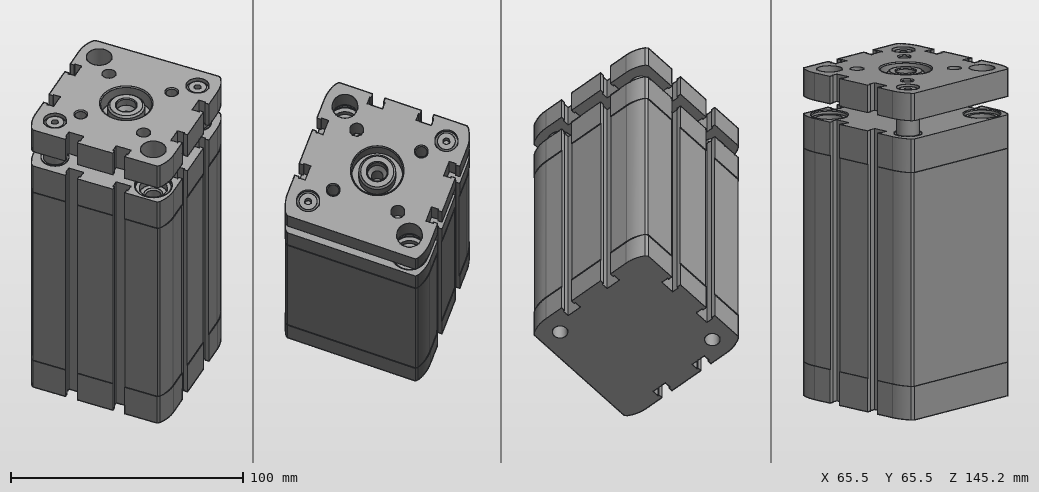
import cadquery as cq
import math

total_height = 145.2
plate_thickness = 12.2
plate_gap = 8.1
cap_height = 15.0
plate_bottom = total_height - plate_thickness
housing_top = plate_bottom - plate_gap

half_width = 32.74
barrel_inset = 0.3
barrel_half_width = half_width - barrel_inset
bulge_start = 23.1
facet_x = 30.3
facet_y = 31.8
flat_x = 29.3

slot_offset = 11.2
slot_throat_width = 5.7
slot_inner_width = 7.0
slot_depth = 5.1
slot_lip = 1.9

center_axis = [(0, 0)]

corner_offset = 23.2
rod_corners = [(-corner_offset, -corner_offset), (corner_offset, corner_offset)]
screw_corners = [(-corner_offset, corner_offset), (corner_offset, -corner_offset)]

screw_hole_diameter = 6.7
screw_chamfer_diameter = 8.1
screw_bore_diameter = 12.0
screw_bore_depth = 5.0
screw_recess_diameter = 15.5
screw_recess_rim = 16.4
screw_recess_depth = 1.6
rod_recess_diameter = 12.0
rod_recess_depth = 0.3

rod_depth = cap_height

guide_diameter = 10.0
guide_end_diameter = 7.7
guide_end_drop = 0.7
guide_center_hole = 2.9
guide_center_depth = 2.9

piston_diameter = 16.0
piston_end_diameter = 14.2
piston_end_drop = 1.0
flat_distance = 12.6
flat_run_out = 0.7
flat_bottom = housing_top + 0.9
thread_rim = 9.5
thread_diameter = 8.5
thread_depth = 3.8
core_diameter = 5.0
core_depth = 14.5
core_tip_height = 1.5

plate_recess_diameter = 22.0
plate_recess_rim = 23.1
plate_recess_depth = 7.5
access_hole_diameter = 11.0
mount_offset = 14.8
mount_diameter = 6.0
mount_core_diameter = 5.0
plain_mounts = [(-mount_offset, mount_offset), (mount_offset, -mount_offset)]
stepped_mounts = [(-mount_offset, -mount_offset), (mount_offset, mount_offset)]


def block(half, bottom, height):
    """Square prism whose X sides bulge in tangent arcs to small corner facets."""
    rise = facet_y - bulge_start
    drop = half - facet_x
    radius = (rise**2 + drop**2) / (2 * drop)
    half_angle = math.asin(rise / radius) / 2
    mid_x = half - radius * (1 - math.cos(half_angle))
    mid_y = bulge_start + radius * math.sin(half_angle)
    return (
        cq.Workplane("XY", origin=(0, 0, bottom))
        .moveTo(half, -bulge_start)
        .lineTo(half, bulge_start)
        .threePointArc((mid_x, mid_y), (facet_x, facet_y))
        .lineTo(flat_x, half)
        .lineTo(-flat_x, half)
        .lineTo(-facet_x, facet_y)
        .threePointArc((-mid_x, mid_y), (-half, bulge_start))
        .lineTo(-half, -bulge_start)
        .threePointArc((-mid_x, -mid_y), (-facet_x, -facet_y))
        .lineTo(-flat_x, -half)
        .lineTo(flat_x, -half)
        .lineTo(facet_x, -facet_y)
        .threePointArc((mid_x, -mid_y), (half, -bulge_start))
        .close()
        .extrude(height)
    )


def t_slots():
    """Full-height T-slots, two in each of the -X, -Y and +X sides."""
    inner_length = slot_depth - slot_lip
    slot = (
        cq.Workplane("XY")
        .box(slot_depth, slot_throat_width, total_height, centered=(False, True, False))
        .union(
            cq.Workplane("XY", origin=(slot_lip, 0, 0))
            .box(inner_length, slot_inner_width, total_height, centered=(False, True, False))
        )
        .translate((-half_width, 0, 0))
    )
    pair = slot.translate((0, slot_offset, 0)).union(slot.translate((0, -slot_offset, 0)))
    slots = pair
    for angle in (90, 180):
        slots = slots.union(pair.rotate((0, 0, 0), (0, 0, 1), angle))
    return slots


def turned(profile, places):
    """Solids of revolution about Z at the given places; profile holds (diameter, z) from bottom to top."""
    points = [(diameter / 2, z) for diameter, z in profile]
    if profile[0][0] > 0:
        points.insert(0, (0, profile[0][1]))
    points.append((0, profile[-1][1]))
    shape = cq.Workplane("XZ").polyline(points).close().revolve(360, (0, 0), (0, 1))
    copies = cq.Workplane("XY")
    for x, y in places:
        copies = copies.add(shape.translate((x, y, 0)))
    return copies.combine()


def make_housing():
    barrel_height = housing_top - 2 * cap_height
    housing = (
        block(half_width, 0, cap_height)
        .union(block(barrel_half_width, cap_height, barrel_height))
        .union(block(half_width, housing_top - cap_height, cap_height))
        .cut(t_slots())
    )

    bore_floor = housing_top - screw_bore_depth
    recess_floor = housing_top - screw_recess_depth
    hole_chamfer = (screw_chamfer_diameter - screw_hole_diameter) / 2
    rim_chamfer = (screw_recess_rim - screw_recess_diameter) / 2
    housing = housing.cut(turned([
        (screw_hole_diameter, 0),
        (screw_hole_diameter, bore_floor - hole_chamfer),
        (screw_chamfer_diameter, bore_floor),
        (screw_bore_diameter, bore_floor),
        (screw_bore_diameter, recess_floor),
        (screw_recess_diameter, recess_floor),
        (screw_recess_diameter, housing_top - rim_chamfer),
        (screw_recess_rim, housing_top),
    ], screw_corners))

    housing = housing.cut(turned([
        (guide_diameter, housing_top - rod_depth),
        (guide_diameter, housing_top - rod_recess_depth),
        (rod_recess_diameter, housing_top - rod_recess_depth),
        (rod_recess_diameter, housing_top),
    ], rod_corners))

    return housing.cut(turned([
        (piston_diameter, housing_top - rod_depth),
        (piston_diameter, housing_top),
    ], center_axis))


def make_plate():
    plate = block(half_width, plate_bottom, plate_thickness).cut(t_slots())

    recess_floor = total_height - plate_recess_depth
    recess_chamfer = (plate_recess_rim - plate_recess_diameter) / 2
    plate = plate.cut(turned([
        (plate_recess_diameter, recess_floor),
        (plate_recess_diameter, total_height - recess_chamfer),
        (plate_recess_rim, total_height),
    ], center_axis))

    plate = plate.cut(turned([
        (piston_diameter, plate_bottom),
        (piston_diameter, recess_floor),
    ], center_axis))

    plate = plate.cut(turned([
        (access_hole_diameter, plate_bottom),
        (access_hole_diameter, total_height),
    ], screw_corners))

    plate = plate.cut(turned([
        (mount_diameter, plate_bottom),
        (mount_diameter, total_height),
    ], plain_mounts))
    mount_chamfer = (mount_diameter - mount_core_diameter) / 2
    plate = plate.cut(turned([
        (mount_core_diameter, plate_bottom),
        (mount_core_diameter, total_height - mount_chamfer),
        (mount_diameter, total_height),
    ], stepped_mounts))

    return plate.cut(turned([
        (guide_diameter, plate_bottom),
        (guide_diameter, total_height),
    ], rod_corners))


def make_guide_rods():
    top = total_height - guide_end_drop
    chamfer = (guide_diameter - guide_end_diameter) / 2
    rods = turned([
        (guide_diameter, housing_top - rod_depth),
        (guide_diameter, top - chamfer),
        (guide_end_diameter, top),
    ], rod_corners)
    return rods.cut(turned([
        (guide_center_hole, top - guide_center_depth),
        (guide_center_hole, top),
    ], rod_corners))


def make_piston_rod():
    top = total_height - piston_end_drop
    end_chamfer = (piston_diameter - piston_end_diameter) / 2
    rod = turned([
        (piston_diameter, housing_top - rod_depth),
        (piston_diameter, top - end_chamfer),
        (piston_end_diameter, top),
    ], center_axis)

    thread_chamfer = (thread_rim - thread_diameter) / 2
    step = (thread_diameter - core_diameter) / 2
    rod = rod.cut(turned([
        (0, top - core_depth - core_tip_height),
        (core_diameter, top - core_depth),
        (core_diameter, top - thread_depth - step),
        (thread_diameter, top - thread_depth),
        (thread_diameter, top - thread_chamfer),
        (thread_rim, top),
    ], center_axis))

    flat_half = flat_distance / 2
    rod_radius = piston_diameter / 2
    flat = (
        cq.Workplane("YZ")
        .polyline([
            (flat_half, plate_bottom),
            (flat_half, flat_bottom + flat_run_out),
            (rod_radius, flat_bottom),
            (rod_radius, plate_bottom),
        ])
        .close()
        .extrude(rod_radius, both=True)
    )
    return rod.cut(flat).cut(flat.mirror("XZ"))


housing = make_housing()

carriage = make_plate().union(make_guide_rods()).union(make_piston_rod())

result = cq.Compound.makeCompound([housing.solids().val(), carriage.solids().val()])